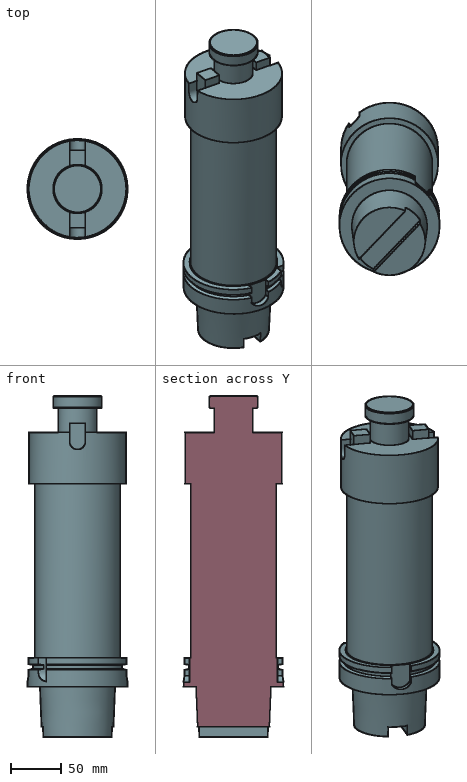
import cadquery as cq
import math

TAPER_TOP = 50.0
FLANGE_TOP = 79.0
HEAD_BASE = 252.5
HEAD_TOP = 304.0
CAP_BASE = 328.0
TOTAL_HEIGHT = 340.5

TAPER_END_DIAMETER = 71.0
TAPER_DIAMETER = 75.3
FLANGE_DIAMETER = 100.0
BODY_DIAMETER = 85.8
HEAD_DIAMETER = 97.0
STEM_DIAMETER = 38.8
CAP_DIAMETER = 48.7
CAP_CHAMFER = 1.0

COLLAR_DIAMETER = 88.0
COLLAR_HEIGHT = 0.5

GROOVE_TOP = FLANGE_TOP - 6.0
GROOVE_MOUTH = 5.8
GROOVE_DEPTH = 4.0
GROOVE_FLOOR_WIDTH = 3.7

FLANGE_SLOT_WIDTH = 19.8
FLANGE_SLOT_DEPTH = 24.0
FLANGE_SLOT_END_RADIUS = 11.2
FLANGE_SLOT_FLOOR = 44.0

NOTCH_WALL = 31.3
NOTCH_DEPTH = 24.0
NOTCH_END_RADIUS = 10.0

END_SLOT_WIDTH = 19.8
END_SLOT_HEIGHT = 10.2

KEY_WIDTH = 15.5
KEY_INNER = 21.8
KEY_OUTER = 38.5
KEY_TOP = HEAD_TOP + 9.2
KEY_SEAT_DEPTH = 17.0


def turned_section(bottom, top, diameter):
    return cq.Workplane("XY").workplane(offset=bottom).circle(diameter / 2).extrude(top - bottom)


def taper():
    outline = [
        (0, 0),
        (TAPER_END_DIAMETER / 2, 0),
        (TAPER_DIAMETER / 2, TAPER_TOP),
        (0, TAPER_TOP),
    ]
    return cq.Workplane("XZ").polyline(outline).close().revolve(360, (0, 0), (0, 1))


def gripper_groove():
    rim = FLANGE_DIAMETER / 2
    floor = rim - GROOVE_DEPTH
    middle = GROOVE_TOP - GROOVE_MOUTH / 2
    outline = [
        (rim, middle + GROOVE_MOUTH / 2),
        (floor, middle + GROOVE_FLOOR_WIDTH / 2),
        (floor, middle - GROOVE_FLOOR_WIDTH / 2),
        (rim, middle - GROOVE_MOUTH / 2),
    ]
    return cq.Workplane("XZ").polyline(outline).close().revolve(360, (0, 0), (0, 1))


def round_ended_slot(plane, width, top, depth, end_radius):
    """Outline of a slot that runs down from its top to a rounded lower end."""
    half = width / 2
    bottom = top - depth
    arc_start = bottom + end_radius - math.sqrt(end_radius**2 - half**2)
    return (
        cq.Workplane(plane)
        .moveTo(-half, top)
        .lineTo(-half, arc_start)
        .threePointArc((0, bottom), (half, arc_start))
        .lineTo(half, top)
        .close()
    )


def flange_slot():
    """Slot on the +X side of the flange."""
    outline = round_ended_slot(
        "YZ", FLANGE_SLOT_WIDTH, FLANGE_TOP, FLANGE_SLOT_DEPTH, FLANGE_SLOT_END_RADIUS
    )
    cutter = outline.extrude(FLANGE_DIAMETER / 2 - FLANGE_SLOT_FLOOR)
    return cutter.translate((FLANGE_SLOT_FLOOR, 0, 0))


def orientation_notch():
    """Corner notch with one flat face across X, one across Y and a rounded lower end."""
    outline = round_ended_slot("YZ", 2 * NOTCH_END_RADIUS, FLANGE_TOP, NOTCH_DEPTH, NOTCH_END_RADIUS)
    cutter = outline.extrude(-FLANGE_DIAMETER / 2)
    return cutter.translate((-NOTCH_WALL, -NOTCH_WALL - NOTCH_END_RADIUS, 0))


def key_seat():
    """Slot in the head for the key on the -Y side."""
    outline = round_ended_slot("XZ", KEY_WIDTH, HEAD_TOP, KEY_SEAT_DEPTH, KEY_WIDTH / 2)
    return outline.extrude(HEAD_DIAMETER / 2 - KEY_INNER).translate((0, -KEY_INNER, 0))


def key():
    """Key on the -Y side, filling the inner part of its seat and standing above the head."""
    height = KEY_TOP - HEAD_TOP + KEY_SEAT_DEPTH
    outline = round_ended_slot("XZ", KEY_WIDTH, KEY_TOP, height, KEY_WIDTH / 2)
    return outline.extrude(KEY_OUTER - KEY_INNER).translate((0, -KEY_INNER, 0))


flange = turned_section(TAPER_TOP, FLANGE_TOP, FLANGE_DIAMETER)
flange = flange.cut(gripper_groove()).cut(orientation_notch())
for angle in (0, 180):
    flange = flange.cut(flange_slot().rotate((0, 0, 0), (0, 0, 1), angle))

end_slot = cq.Workplane("XY").rect(TAPER_DIAMETER, END_SLOT_WIDTH).extrude(END_SLOT_HEIGHT)
shank = taper().cut(end_slot)

head = turned_section(HEAD_BASE, HEAD_TOP, HEAD_DIAMETER)
for angle in (0, 180):
    head = head.cut(key_seat().rotate((0, 0, 0), (0, 0, 1), angle))
    head = head.union(key().rotate((0, 0, 0), (0, 0, 1), angle))

stem = turned_section(HEAD_TOP, CAP_BASE, STEM_DIAMETER)
cap = turned_section(CAP_BASE, TOTAL_HEIGHT, CAP_DIAMETER).edges().chamfer(CAP_CHAMFER)

collar = turned_section(FLANGE_TOP, FLANGE_TOP + COLLAR_HEIGHT, COLLAR_DIAMETER)
body = turned_section(FLANGE_TOP, HEAD_BASE, BODY_DIAMETER)
result = shank.union(flange).union(collar).union(body).union(head).union(stem).union(cap)